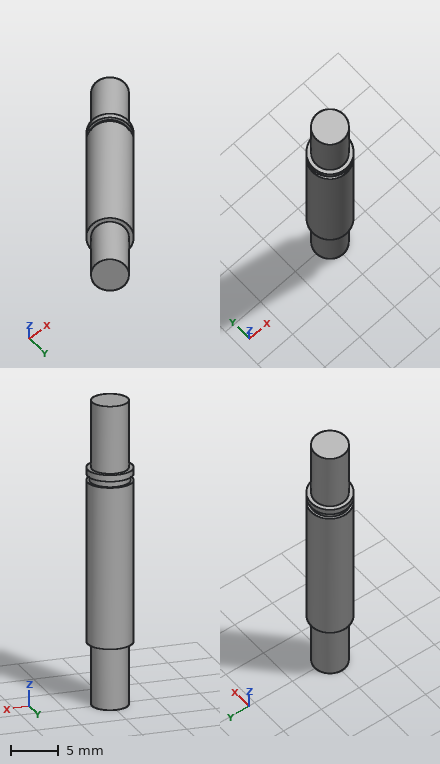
import cadquery as cq

total_length = 34.0
body_diameter = 5.0
journal_diameter = 4.0
groove_diameter = 4.4
lower_journal_length = 7.0
upper_journal_length = 7.5
collar_width = 0.7
groove_width = 0.7

collar_top = total_length - upper_journal_length
groove_top = collar_top - collar_width
groove_bottom = groove_top - groove_width


def cylinder(diameter, bottom, top):
    """Solid cylinder on the Z axis between two heights."""
    return cq.Workplane("XY").workplane(offset=bottom).circle(diameter / 2).extrude(top - bottom)


core = cylinder(journal_diameter, 0, total_length)

body = cylinder(body_diameter, lower_journal_length, groove_bottom)
groove_floor = cylinder(groove_diameter, groove_bottom, groove_top)
collar = cylinder(body_diameter, groove_top, collar_top)

result = core.union(body).union(groove_floor).union(collar)